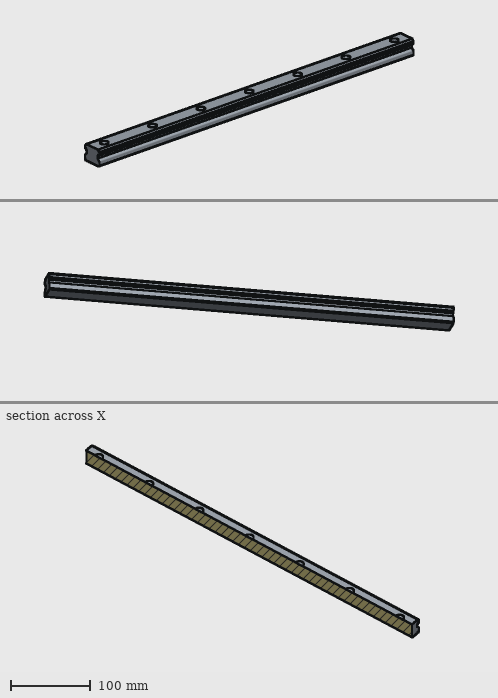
import cadquery as cq

LENGTH = 520.0
WIDTH = 28.0
HEIGHT = 23.0

WAIST_WIDTH = 21.5
WAIST_TOP = 14.0
WAIST_BOTTOM = 10.5
SHOULDER_FILLET = 2.0
BOTTOM_CHAMFER = 1.5

TOP_RACE = 2.5
FLANK_RACE_START = 1.0
FLANK_RACE = 1.5
RACE_DEPTH = 0.5

HOLE_COUNT = 7
HOLE_PITCH = LENGTH / (HOLE_COUNT - 0.5)
HOLE_DIAMETER = 11.0
CAP_RECESS = 0.25

HALF_WIDTH = WIDTH / 2
HALF_WAIST = WAIST_WIDTH / 2
FLANK = HALF_WIDTH - HALF_WAIST
HEAD_BOTTOM = WAIST_TOP + FLANK
BASE_TOP = WAIST_BOTTOM - FLANK


def shoulder_edge(z):
    """Selector for the lengthwise edge on the right side at height z."""
    return cq.selectors.NearestToPointSelector((HALF_WIDTH, 0, z))


def rail_body():
    """Half section extruded along Y, filleted, then mirrored across the centre plane."""
    flank_race_end = FLANK_RACE_START + FLANK_RACE
    half_section = (
        cq.Workplane("XZ")
        .lineTo(HALF_WIDTH - BOTTOM_CHAMFER, 0)
        .lineTo(HALF_WIDTH, BOTTOM_CHAMFER)
        .lineTo(HALF_WIDTH, BASE_TOP)
        .lineTo(HALF_WAIST, WAIST_BOTTOM)
        .lineTo(HALF_WAIST, WAIST_TOP)
        .lineTo(HALF_WAIST + FLANK_RACE_START, WAIST_TOP + FLANK_RACE_START)
        .sagittaArc((HALF_WAIST + flank_race_end, WAIST_TOP + flank_race_end), RACE_DEPTH)
        .lineTo(HALF_WIDTH, HEAD_BOTTOM)
        .lineTo(HALF_WIDTH, HEIGHT - TOP_RACE)
        .sagittaArc((HALF_WIDTH - TOP_RACE, HEIGHT), RACE_DEPTH)
        .lineTo(0, HEIGHT)
        .close()
    )
    half_rail = half_section.extrude(LENGTH / 2, both=True).clean()
    for z in (HEAD_BOTTOM, BASE_TOP):
        half_rail = half_rail.edges("|Y").edges(shoulder_edge(z)).fillet(SHOULDER_FILLET)
    return half_rail.union(half_rail.mirror("YZ"))


def cap_recesses():
    """Shallow round recesses in one centred row along the top face."""
    row = cq.Workplane("XY", origin=(0, 0, HEIGHT)).rarray(5, HOLE_PITCH, 1, HOLE_COUNT)
    return row.circle(HOLE_DIAMETER / 2).extrude(-CAP_RECESS)


result = rail_body().cut(cap_recesses()).clean()